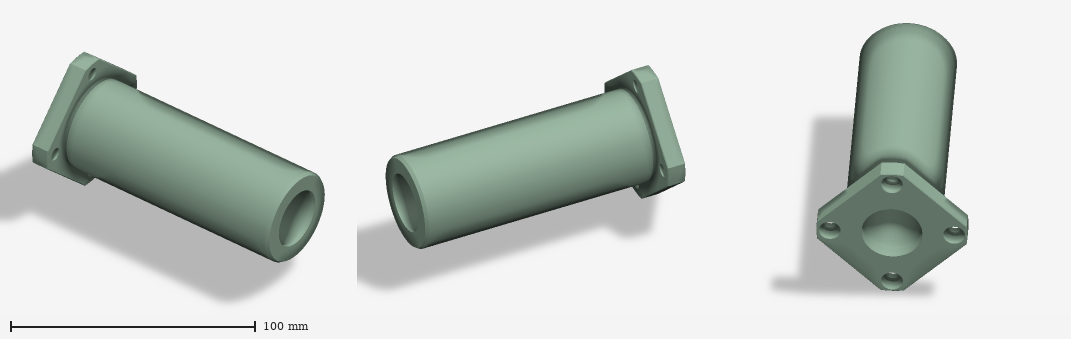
import cadquery as cq

length = 112.0
sleeve_diameter = 40.0
bore_diameter = 25.0

flange_thickness = 8.0
flange_square = 50.0
flange_diameter = 61.9
flange_edge_chamfer = 0.3

relief_end = 9.6
relief_depth = 0.62

end_chamfer_length = 1.5
end_chamfer_depth = 0.9

hole_count = 4
hole_circle_diameter = 51.0
hole_diameter = 5.5
counterbore_diameter = 9.0
counterbore_depth = 5.2


def make_flange():
    square = (
        cq.Workplane("YZ")
        .transformed(rotate=(0, 0, 45))
        .rect(flange_square, flange_square)
        .extrude(flange_thickness)
    )
    disc = cq.Workplane("YZ").circle(flange_diameter / 2).extrude(flange_thickness)
    return square.intersect(disc).faces("<X or >X").chamfer(flange_edge_chamfer)


def make_sleeve():
    sleeve_radius = sleeve_diameter / 2
    relief_middle = (flange_thickness + relief_end) / 2
    return (
        cq.Workplane("XY")
        .lineTo(0, sleeve_radius)
        .lineTo(flange_thickness, sleeve_radius)
        .threePointArc((relief_middle, sleeve_radius - relief_depth), (relief_end, sleeve_radius))
        .lineTo(length - end_chamfer_length, sleeve_radius)
        .lineTo(length, sleeve_radius - end_chamfer_depth)
        .lineTo(length, 0)
        .close()
        .revolve(360, (0, 0, 0), (1, 0, 0))
    )


def make_bore():
    return cq.Workplane("YZ").circle(bore_diameter / 2).extrude(length)


def make_hole_set(diameter, depth):
    return (
        cq.Workplane("YZ")
        .polarArray(hole_circle_diameter / 2, 0, 360, hole_count)
        .circle(diameter / 2)
        .extrude(depth)
    )


def make_mounting_holes():
    """Through holes, counterbored from the outer face of the flange."""
    through_holes = make_hole_set(hole_diameter, flange_thickness)
    counterbores = make_hole_set(counterbore_diameter, counterbore_depth)
    return through_holes.union(counterbores)


result = make_flange().union(make_sleeve()).cut(make_bore()).cut(make_mounting_holes())